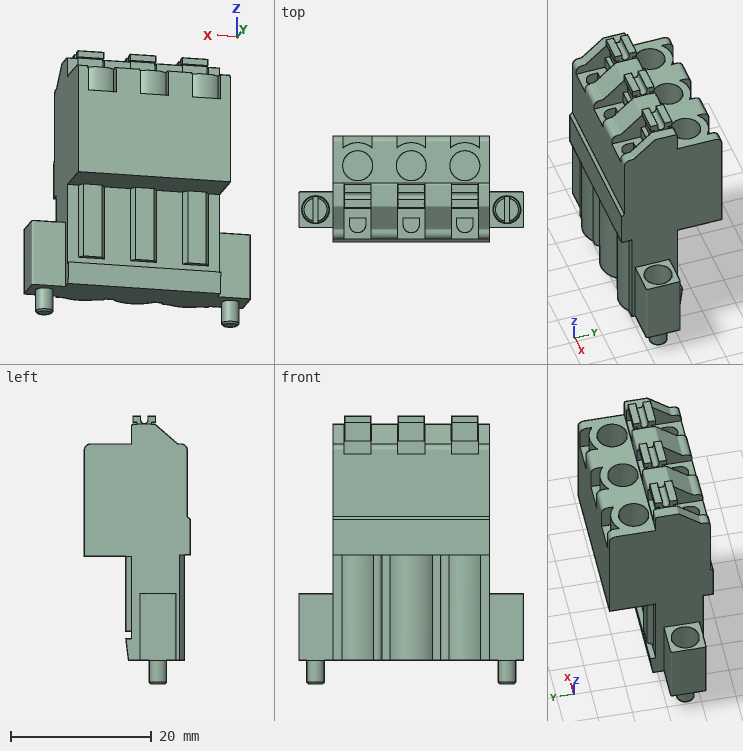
import cadquery as cq
import math

POLES = 3
PITCH = 7.6
HOUSING_WIDTH = 22.2
POLE_CENTRES = [(i - (POLES - 1) / 2) * PITCH for i in range(POLES)]

BACK_Y = 10.45
WALL_FRONT_Y = -4.2
BAND_FRONT_Y = -4.6
RIDGE_BACK_Y = 3.75
RIDGE_FRONT_Y = 0.4
SLOPE_FOOT_Y = -2.8
PLUG_FRONT_Y = -3.08
BACK_OVERHANG_Z = 14.75
BAND_BOTTOM_Z = 15.0
BAND_TOP_Z = 20.0
SHOULDER_Z = 30.73
RIDGE_TOP_Z = 33.55
EDGE_RADIUS = 0.9
RIDGE_RADIUS = 0.35

LATCH_DEPTH = 0.8
LATCH_HEIGHT = 3.08
LATCH_FOOT_DEPTH = 0.4
RIB_WIDTH = 3.8
RIB_FLANK = 0.57
RIB_BOTTOM_Z = 4.1
BULGE_RADIUS = 3.8
VALLEY_Y = -2.35
VALLEY_HALF_WIDTH = 4.2
VALLEY_EDGE_RADIUS = 0.6

SLOT_WIDTH = 3.85
SLOT_FLOOR_Z = 29.32
LEDGE_Z = 31.15
LEDGE_Y = 0.2
BUTTON_WIDTH = 3.73
BUTTON_TOP_Z = 34.7
BUTTON_HEAD_BOTTOM_Z = 33.77
BUTTON_HEAD_BACK_Y = 3.55
BUTTON_HEAD_FRONT_Y = 0.3
NECK_INSET = 0.57
GROOVE_WIDTH = 1.03
GROOVE_DEPTH = 1.05

TEST_HOLE_WIDTH = 2.32
TEST_HOLE_BACK_Y = -1.2
TEST_HOLE_FRONT_Y = -3.27
TEST_HOLE_DEPTH = 7.6
WIRE_HOLE_Y = 6.25
WIRE_HOLE_RADIUS = 2.13
WIRE_HOLE_DEPTH = 11.4
COLLAR_RADIUS = 3.27
BACK_RECESS_WIDTH = 4.1
BACK_RECESS_DEPTH = 3.8

OVERALL_WIDTH = 31.9
FLANGE_DEPTH = 5.15
FLANGE_HEIGHT = 9.47
FLANGE_RADIUS = 0.25
SCREW_X = 13.58
SCREW_HOLE_RADIUS = 1.98
SHANK_RADIUS = 1.25
SHANK_LENGTH = 3.35
TIP_CHAMFER = 0.25
SCREW_HEAD_RADIUS = 1.9
SCREW_HEAD_CHAMFER = 0.25
SCREW_HEAD_SEAT_Z = 3.05
SCREW_HEAD_HEIGHT = 1.9
DRIVE_WIDTH = 0.7
DRIVE_DEPTH = 0.57


def box(x_mid, width, y_front, y_back, z_bottom, z_top):
    """A box centred on x_mid and set by its limits in Y and Z."""
    size = (width, y_back - y_front, z_top - z_bottom)
    return cq.Workplane("XY").box(*size, centered=(True, False, False)).translate((x_mid, y_front, z_bottom))


def extrude_side_profile(sketch, x_mid, width):
    """Extrude a closed YZ outline by width, centred on x_mid."""
    return sketch.extrude(width / 2, both=True).translate((x_mid, 0, 0))


def make_upper_body():
    """The upper part: shoulder, sloping ridge and front band, the same across the whole width."""
    band_step = WALL_FRONT_Y - BAND_FRONT_Y
    outline = (
        cq.Workplane("YZ")
        .moveTo(BACK_Y, BACK_OVERHANG_Z)
        .lineTo(BACK_Y, SHOULDER_Z - EDGE_RADIUS)
        .radiusArc((BACK_Y - EDGE_RADIUS, SHOULDER_Z), -EDGE_RADIUS)
        .lineTo(RIDGE_BACK_Y, SHOULDER_Z)
        .lineTo(RIDGE_BACK_Y, RIDGE_TOP_Z - RIDGE_RADIUS)
        .radiusArc((RIDGE_BACK_Y - RIDGE_RADIUS, RIDGE_TOP_Z), -RIDGE_RADIUS)
        .lineTo(RIDGE_FRONT_Y, RIDGE_TOP_Z)
        .lineTo(SLOPE_FOOT_Y, SHOULDER_Z)
        .lineTo(WALL_FRONT_Y + EDGE_RADIUS, SHOULDER_Z)
        .radiusArc((WALL_FRONT_Y, SHOULDER_Z - EDGE_RADIUS), -EDGE_RADIUS)
        .lineTo(WALL_FRONT_Y, BAND_TOP_Z + band_step)
        .lineTo(BAND_FRONT_Y, BAND_TOP_Z)
        .lineTo(BAND_FRONT_Y, BAND_BOTTOM_Z)
        .lineTo(RIDGE_BACK_Y, BAND_BOTTOM_Z)
        .lineTo(RIDGE_BACK_Y, BACK_OVERHANG_Z)
        .close()
    )
    body = extrude_side_profile(outline, 0, HOUSING_WIDTH)
    for corner in ((RIDGE_FRONT_Y, RIDGE_TOP_Z), (SLOPE_FOOT_Y, SHOULDER_Z)):
        edge = cq.selectors.NearestToPointSelector((0, *corner))
        body = body.edges(edge).fillet(RIDGE_RADIUS)
    return body


def bulge_half_chord(y):
    """Half the width of a bulge, whose axis lies at Y = 0, where it meets the plane at y."""
    return math.sqrt(BULGE_RADIUS**2 - y**2)


def make_plug_body():
    """The lower part: rounded bulges in front, a valley round the middle one, ribs and a latch behind."""
    half_width = HOUSING_WIDTH / 2
    side_chord = bulge_half_chord(PLUG_FRONT_Y)
    middle_chord = bulge_half_chord(VALLEY_Y)
    rounded_edge_y = PLUG_FRONT_Y + VALLEY_EDGE_RADIUS
    body = (
        cq.Workplane("XY")
        .moveTo(-half_width, RIDGE_BACK_Y)
        .lineTo(-half_width, PLUG_FRONT_Y)
        .lineTo(-PITCH - side_chord, PLUG_FRONT_Y)
        .threePointArc((-PITCH, -BULGE_RADIUS), (-PITCH + side_chord, PLUG_FRONT_Y))
        .lineTo(-VALLEY_HALF_WIDTH - VALLEY_EDGE_RADIUS, PLUG_FRONT_Y)
        .radiusArc((-VALLEY_HALF_WIDTH, rounded_edge_y), -VALLEY_EDGE_RADIUS)
        .lineTo(-VALLEY_HALF_WIDTH, VALLEY_Y)
        .lineTo(-middle_chord, VALLEY_Y)
        .threePointArc((0, -BULGE_RADIUS), (middle_chord, VALLEY_Y))
        .lineTo(VALLEY_HALF_WIDTH, VALLEY_Y)
        .lineTo(VALLEY_HALF_WIDTH, rounded_edge_y)
        .radiusArc((VALLEY_HALF_WIDTH + VALLEY_EDGE_RADIUS, PLUG_FRONT_Y), -VALLEY_EDGE_RADIUS)
        .lineTo(PITCH - side_chord, PLUG_FRONT_Y)
        .threePointArc((PITCH, -BULGE_RADIUS), (PITCH + side_chord, PLUG_FRONT_Y))
        .lineTo(half_width, PLUG_FRONT_Y)
        .lineTo(half_width, RIDGE_BACK_Y)
        .close()
        .extrude(BAND_BOTTOM_Z)
    )
    latch = (
        cq.Workplane("YZ")
        .moveTo(RIDGE_BACK_Y, 0)
        .lineTo(RIDGE_BACK_Y + LATCH_FOOT_DEPTH, 0)
        .lineTo(RIDGE_BACK_Y + LATCH_DEPTH, LATCH_HEIGHT)
        .lineTo(RIDGE_BACK_Y, LATCH_HEIGHT)
        .close()
    )
    body = body.union(extrude_side_profile(latch, 0, HOUSING_WIDTH))
    for x in POLE_CENTRES:
        body = body.union(make_back_rib(x))
    return body


def make_back_rib(x):
    """Rib with slanted flanks on the back of the plug part."""
    rib = [
        (x - RIB_WIDTH / 2, RIDGE_BACK_Y),
        (x - RIB_WIDTH / 2 + RIB_FLANK, RIDGE_BACK_Y + LATCH_DEPTH),
        (x + RIB_WIDTH / 2 - RIB_FLANK, RIDGE_BACK_Y + LATCH_DEPTH),
        (x + RIB_WIDTH / 2, RIDGE_BACK_Y),
    ]
    plane = cq.Workplane("XY").workplane(offset=RIB_BOTTOM_Z)
    return plane.polyline(rib).close().extrude(BACK_OVERHANG_Z - RIB_BOTTOM_Z)


def make_flange(side):
    """The screw flange on one side of the housing; side is -1 or 1."""
    width = (OVERALL_WIDTH - HOUSING_WIDTH) / 2
    x_mid = side * (HOUSING_WIDTH + width) / 2
    block = box(x_mid, width, -FLANGE_DEPTH / 2, FLANGE_DEPTH / 2, 0, FLANGE_HEIGHT)
    block = block.faces(">X" if side > 0 else "<X").edges("|Z").fillet(FLANGE_RADIUS)
    seat = cq.Workplane("XY", origin=(0, 0, SCREW_HEAD_SEAT_Z))
    head_hole = seat.circle(SCREW_HOLE_RADIUS).extrude(FLANGE_HEIGHT - SCREW_HEAD_SEAT_Z)
    shank_hole = cq.Workplane("XY").circle(SHANK_RADIUS).extrude(SCREW_HEAD_SEAT_Z)
    return block.cut(head_hole.union(shank_hole).translate((side * SCREW_X, 0, 0)))


def make_slot(x):
    """Stepped slot through the ridge that takes the button and bares the test hole."""
    front = box(x, SLOT_WIDTH, BAND_FRONT_Y, LEDGE_Y, SLOT_FLOOR_Z, BUTTON_TOP_Z)
    back = box(x, SLOT_WIDTH, LEDGE_Y, RIDGE_BACK_Y, LEDGE_Z, BUTTON_TOP_Z)
    return front.union(back)


def make_test_hole(x):
    half = TEST_HOLE_WIDTH / 2
    return (
        cq.Workplane("XY", origin=(x, 0, SLOT_FLOOR_Z))
        .moveTo(-half, TEST_HOLE_BACK_Y)
        .lineTo(-half, TEST_HOLE_FRONT_Y + half)
        .threePointArc((0, TEST_HOLE_FRONT_Y), (half, TEST_HOLE_FRONT_Y + half))
        .lineTo(half, TEST_HOLE_BACK_Y)
        .close()
        .extrude(-TEST_HOLE_DEPTH)
    )


def make_wire_openings(x):
    """Round wire hole, and the recess in the back face that leaves a rounded collar round it."""
    top = cq.Workplane("XY", origin=(x, WIRE_HOLE_Y, SHOULDER_Z))
    hole = top.circle(WIRE_HOLE_RADIUS).extrude(-WIRE_HOLE_DEPTH)
    collar = top.circle(COLLAR_RADIUS).extrude(-BACK_RECESS_DEPTH)
    recess = box(x, BACK_RECESS_WIDTH, WIRE_HOLE_Y, BACK_Y, SHOULDER_Z - BACK_RECESS_DEPTH, SHOULDER_Z)
    return hole.union(recess.cut(collar))


def make_housing():
    housing = make_upper_body().union(make_plug_body())
    for x in POLE_CENTRES:
        housing = housing.cut(make_slot(x)).cut(make_test_hole(x)).cut(make_wire_openings(x))
    for side in (-1, 1):
        housing = housing.union(make_flange(side))
    return housing


def make_button(x):
    """Push button: a grooved head on a narrower neck that stands on the slot's ledge."""
    head = box(x, BUTTON_WIDTH, BUTTON_HEAD_FRONT_Y, BUTTON_HEAD_BACK_Y, BUTTON_HEAD_BOTTOM_Z, BUTTON_TOP_Z)
    neck_front_y = BUTTON_HEAD_FRONT_Y + NECK_INSET
    neck_back_y = BUTTON_HEAD_BACK_Y - NECK_INSET
    neck = box(x, BUTTON_WIDTH, neck_front_y, neck_back_y, LEDGE_Z, BUTTON_HEAD_BOTTOM_Z)
    groove_y = (BUTTON_HEAD_FRONT_Y + BUTTON_HEAD_BACK_Y) / 2
    groove_radius = GROOVE_WIDTH / 2
    groove_axis_z = BUTTON_TOP_Z - GROOVE_DEPTH + groove_radius
    groove = (
        cq.Workplane("YZ")
        .moveTo(groove_y - groove_radius, BUTTON_TOP_Z)
        .lineTo(groove_y - groove_radius, groove_axis_z)
        .threePointArc((groove_y, BUTTON_TOP_Z - GROOVE_DEPTH), (groove_y + groove_radius, groove_axis_z))
        .lineTo(groove_y + groove_radius, BUTTON_TOP_Z)
        .close()
    )
    return head.union(neck).cut(extrude_side_profile(groove, x, BUTTON_WIDTH))


def make_screw(side):
    """Slotted flange screw on one side; side is -1 or 1."""
    head_top = SCREW_HEAD_SEAT_Z + SCREW_HEAD_HEIGHT
    shank = (
        cq.Workplane("XY", origin=(0, 0, -SHANK_LENGTH))
        .circle(SHANK_RADIUS)
        .extrude(SHANK_LENGTH + SCREW_HEAD_SEAT_Z)
        .faces("<Z")
        .chamfer(TIP_CHAMFER)
    )
    head = (
        cq.Workplane("XY", origin=(0, 0, SCREW_HEAD_SEAT_Z))
        .circle(SCREW_HEAD_RADIUS)
        .extrude(SCREW_HEAD_HEIGHT)
        .faces(">Z")
        .chamfer(SCREW_HEAD_CHAMFER)
    )
    drive_slot = box(0, DRIVE_WIDTH, -SCREW_HEAD_RADIUS, SCREW_HEAD_RADIUS, head_top - DRIVE_DEPTH, head_top)
    return shank.union(head).cut(drive_slot).translate((side * SCREW_X, 0, 0))


housing = make_housing()
buttons = [make_button(x) for x in POLE_CENTRES]
screws = [make_screw(side) for side in (-1, 1)]

result = cq.Compound.makeCompound(
    [
        housing.val(),
        *[button.val() for button in buttons],
        *[screw.val() for screw in screws],
    ]
)